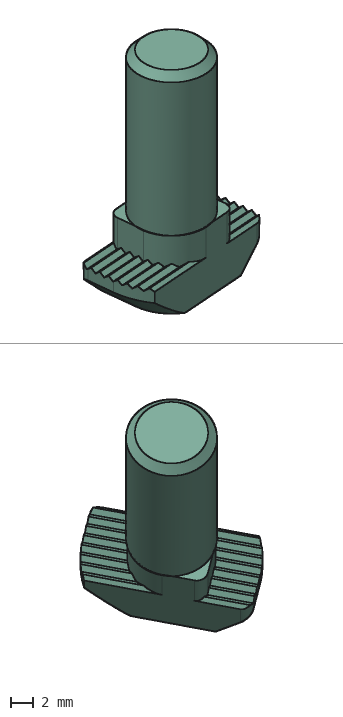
import cadquery as cq

total_height = 24.7
shank_diameter = 8.0
shank_chamfer = 0.8
head_length = 16.0
head_width = 7.8
neck_top = 7.68
tooth_tip_height = 4.7
tooth_depth = 0.4
tooth_pitch = 1.0
bevel_size = 3.19
corner_radius = 1.0

half_length = head_length / 2
half_width = head_width / 2
bottom_half_length = half_length - bevel_size
tooth_count = 8


def rounded_block(length, height):
    """Block of head width with one diagonal pair of corners filleted."""
    block = cq.Workplane("XY").box(head_width, length, height, centered=(True, True, False))
    for sign in (-1, 1):
        corner = (sign * half_width, sign * length / 2, height / 2)
        block = block.edges(cq.selectors.NearestToPointSelector(corner)).fillet(corner_radius)
    return block


def turning_limit(round_solid):
    """Keep round_solid in the (-X, +Y) and (+X, -Y) quadrants, leave the others unlimited."""
    limit = round_solid
    for sign in (-1, 1):
        quadrant = (
            cq.Workplane("XY")
            .center(sign * half_length / 2, sign * half_length / 2)
            .rect(half_length, half_length)
            .extrude(total_height)
        )
        limit = limit.union(quadrant)
    return limit


def make_head():
    """Hammer head: bevelled ends, with a conical sweep on the two corners that turn."""
    end_profile = [
        (-bottom_half_length, 0),
        (bottom_half_length, 0),
        (half_length, bevel_size),
        (half_length, tooth_tip_height),
        (-half_length, tooth_tip_height),
        (-half_length, bevel_size),
    ]
    bevelled = cq.Workplane("YZ").polyline(end_profile).close().extrude(half_width, both=True)
    cone = (
        cq.Workplane("XZ")
        .moveTo(0, 0)
        .lineTo(bottom_half_length, 0)
        .lineTo(half_length, bevel_size)
        .lineTo(half_length, tooth_tip_height)
        .lineTo(0, tooth_tip_height)
        .close()
        .revolve(360, (0, 0), (0, 1))
    )
    head = rounded_block(head_length, tooth_tip_height).intersect(bevelled)
    return head.intersect(turning_limit(cone))


def cut_teeth(head):
    """Cut V grooves along Y, one of them on the centre line, meeting at sharp tips."""
    for index in range(-tooth_count // 2, tooth_count // 2 + 1):
        valley = index * tooth_pitch
        groove = (
            cq.Workplane("XZ")
            .moveTo(valley - tooth_pitch / 2, tooth_tip_height)
            .lineTo(valley, tooth_tip_height - tooth_depth)
            .lineTo(valley + tooth_pitch / 2, tooth_tip_height)
            .close()
            .extrude(half_length, both=True)
        )
        head = head.cut(groove)
    return head


def make_neck():
    """Square neck with two small corner fillets and two full quarter rounds."""
    cylinder = cq.Workplane("XY").circle(half_width).extrude(neck_top)
    neck = rounded_block(head_width, neck_top).intersect(turning_limit(cylinder))
    below_teeth = cq.Workplane("XY").rect(head_width, head_width).extrude(tooth_tip_height / 2)
    return neck.cut(below_teeth)


def make_shank():
    """Plain round shank with a chamfered tip."""
    return (
        cq.Workplane("XY")
        .workplane(offset=neck_top)
        .circle(shank_diameter / 2)
        .extrude(total_height - neck_top)
        .faces(">Z")
        .chamfer(shank_chamfer)
    )


result = cut_teeth(make_head()).union(make_neck()).union(make_shank())